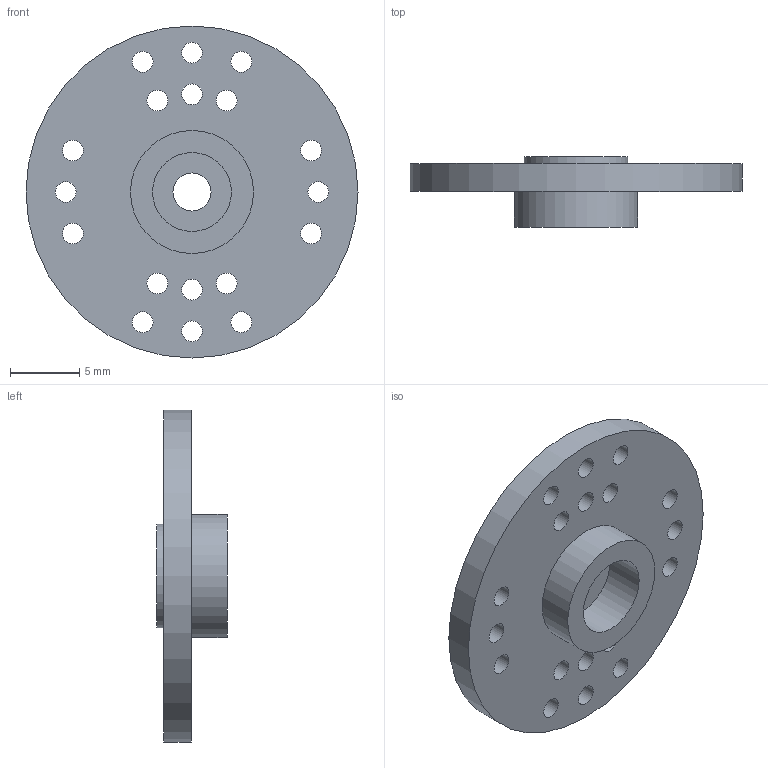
import cadquery as cq
import math

DISC_DIAMETER = 24.0
DISC_THICKNESS = 2.0

HUB_DIAMETER = 8.9
HUB_HEIGHT = 2.6
BORE_DIAMETER = 5.7
BORE_DEPTH = 3.0
CENTRE_HOLE_DIAMETER = 2.75

SPIGOT_DIAMETER = 7.5
SPIGOT_HEIGHT = 0.5

HOLE_DIAMETER = 1.5
HOLES_PER_GROUP = 3
TOP_AND_BOTTOM = (90.0, 270.0)
LEFT_AND_RIGHT = (0.0, 180.0)
HOLE_GROUPS = (
    (10.065, 20.75, TOP_AND_BOTTOM),
    (7.065, 20.75, TOP_AND_BOTTOM),
    (9.125, 19.2, LEFT_AND_RIGHT),
)


def cylinder(diameter, y_start, length):
    """Cylinder on the Y axis, running from y_start toward +Y."""
    plane = cq.Plane(origin=(0, y_start, 0), xDir=(1, 0, 0), normal=(0, 1, 0))
    return cq.Workplane(plane).circle(diameter / 2).extrude(length)


def hole_centres():
    """X, Z centres of all mounting holes."""
    centres = []
    middle = (HOLES_PER_GROUP - 1) / 2
    for radius, pitch, group_angles in HOLE_GROUPS:
        for group_angle in group_angles:
            for index in range(HOLES_PER_GROUP):
                angle = math.radians(group_angle + (index - middle) * pitch)
                centres.append((radius * math.cos(angle), radius * math.sin(angle)))
    return centres


def mounting_holes():
    """Cutters for the holes through the disc."""
    holes = cq.Workplane("XZ").pushPoints(hole_centres())
    return holes.circle(HOLE_DIAMETER / 2).extrude(-DISC_THICKNESS)


disc = cylinder(DISC_DIAMETER, 0, DISC_THICKNESS)
hub = cylinder(HUB_DIAMETER, -HUB_HEIGHT, HUB_HEIGHT)
spigot = cylinder(SPIGOT_DIAMETER, DISC_THICKNESS, SPIGOT_HEIGHT)
bore = cylinder(BORE_DIAMETER, -HUB_HEIGHT, BORE_DEPTH)
total_length = HUB_HEIGHT + DISC_THICKNESS + SPIGOT_HEIGHT
centre_hole = cylinder(CENTRE_HOLE_DIAMETER, -HUB_HEIGHT, total_length)

body = disc.union(hub).union(spigot)
result = body.cut(bore).cut(centre_hole).cut(mounting_holes())